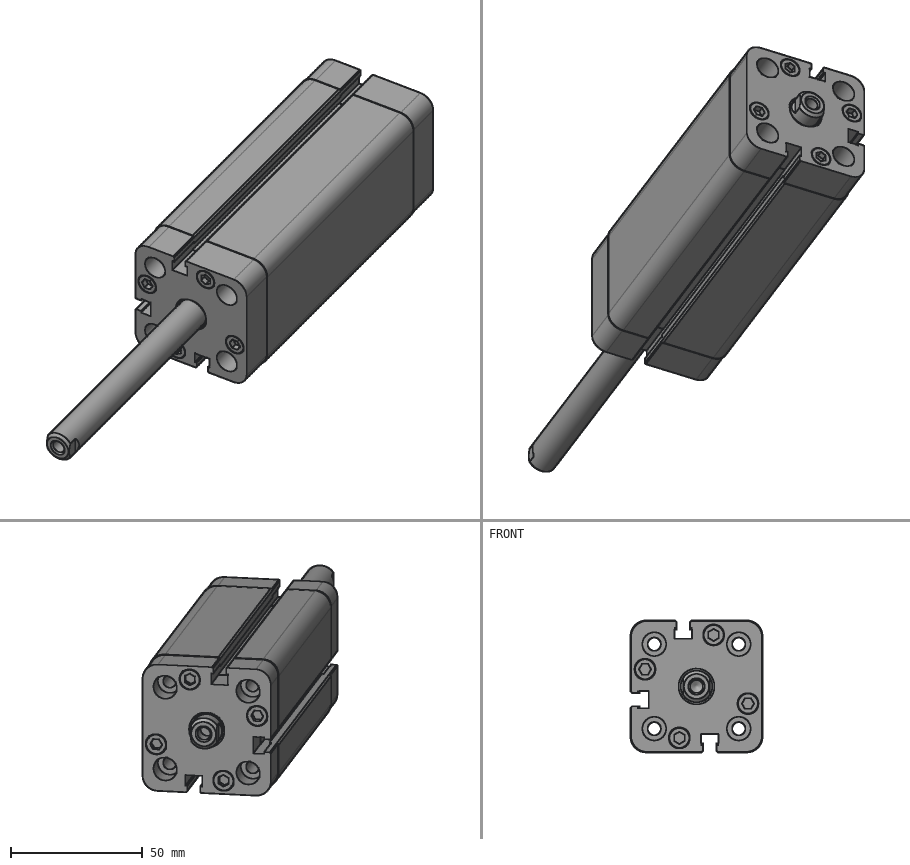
import cadquery as cq
import math


barrel_width = 50.1
cap_width = 49.5
corner_tangent = 18.9
cap_length = 14.5
barrel_length = 105.5
body_length = barrel_length + 2 * cap_length

slot_offset = 5.0
slot_mouth_width = 5.0
slot_inner_width = 6.5
slot_mouth_chamfer = 0.7
barrel_slot_floor = 18.15
cap_slot_floor = 18.0
barrel_lip_inside = 21.5
cap_lip_inside = 22.2
slot_turns = (0, 90, 180)

mount_spacing = 32.0
mount_hole_diameter = 4.92
mount_bore_diameter = 9.0
mount_bore_depth = 9.0

screw_offset = 6.5
screw_distance = 19.5
screw_recess_diameter = 8.0
screw_head_diameter = 7.5
screw_recess_depth = 4.0
screw_hex_width = 4.0
screw_hex_depth = 2.5
screw_turns = (0, 90, 180, 270)

rod_bore_diameter = 13.6
rod_bore_depth = 1.0

rod_diameter = 12.0
front_rod_length = 96.0
rear_rod_length = 6.0
rod_tip_diameter = 9.5
rod_chamfer_angle = 40.0
wrench_flat_width = 10.0
wrench_flat_length = 4.7
rod_hole_diameter = 4.92
rod_hole_mouth_diameter = 6.25
rod_hole_depth = 12.0
drill_point_angle = 118.0


def end_face(y):
    """Plane across the axis at the given Y; local x is +X, local y is -Z, extrusion goes to +Y."""
    return cq.Workplane(cq.Plane((0, y, 0), (1, 0, 0), (0, 1, 0)))


def turn(shape, angle):
    """Turn a shape around the axis, counterclockwise when looking toward +Y."""
    return shape.rotate((0, 0, 0), (0, -1, 0), angle)


def rounded_bar(width, start_y, length):
    corner_radius = width / 2 - corner_tangent
    return end_face(start_y).rect(width, width).extrude(length).edges("|Y").fillet(corner_radius)


def slot_cutter(start_y, length, floor, lip_inside):
    """Slot of the top side, with a chamfered mouth that flares at the barrel surface."""
    half_inner = slot_inner_width / 2
    half_mouth = slot_mouth_width / 2
    half_flare = half_mouth + slot_mouth_chamfer
    surface = barrel_width / 2
    right_side = [
        (half_inner, floor),
        (half_inner, lip_inside),
        (half_mouth, lip_inside),
        (half_mouth, surface - slot_mouth_chamfer),
        (half_flare, surface),
    ]
    left_side = [(-x, z) for x, z in reversed(right_side)]
    outline = [(x - slot_offset, -z) for x, z in right_side + left_side]
    return end_face(start_y).polyline(outline).close().extrude(length)


def screw_cutter():
    """Gap around one screw head at the front face, and its socket with two corners along Z."""
    center = (screw_offset, -screw_distance)
    hex_corner_diameter = 2 * screw_hex_width / math.sqrt(3)
    gap = (
        end_face(0)
        .center(*center)
        .circle(screw_recess_diameter / 2)
        .circle(screw_head_diameter / 2)
        .extrude(screw_recess_depth)
    )
    socket = (
        end_face(0)
        .center(*center)
        .transformed(rotate=(0, 0, 90))
        .polygon(6, hex_corner_diameter)
        .extrude(screw_hex_depth)
    )
    return gap.union(socket)


def mount_holes(diameter, depth):
    """Cylinders at the four corners, reaching from the front face to the given depth."""
    corners = end_face(0).rect(mount_spacing, mount_spacing, forConstruction=True).vertices()
    return corners.circle(diameter / 2).extrude(depth)


def cap_face_cutter():
    """Everything sunk into the outer face of the front cap."""
    cutter = mount_holes(mount_bore_diameter, mount_bore_depth)
    cutter = cutter.union(end_face(0).circle(rod_bore_diameter / 2).extrude(rod_bore_depth))
    for angle in screw_turns:
        cutter = cutter.union(turn(screw_cutter(), angle))
    return cutter


def make_body():
    body = rounded_bar(cap_width, 0, body_length)
    body = body.union(rounded_bar(barrel_width, cap_length, barrel_length))
    barrel_slot = slot_cutter(cap_length, barrel_length, barrel_slot_floor, barrel_lip_inside)
    front_cap_slot = slot_cutter(0, cap_length, cap_slot_floor, cap_lip_inside)
    rear_cap_slot = front_cap_slot.translate((0, cap_length + barrel_length, 0))
    for angle in slot_turns:
        for slot in (front_cap_slot, barrel_slot, rear_cap_slot):
            body = body.cut(turn(slot, angle))
    front_cutter = cap_face_cutter()
    rear_cutter = front_cutter.mirror("XZ").translate((0, body_length, 0))
    body = body.cut(mount_holes(mount_hole_diameter, body_length))
    return body.cut(front_cutter).cut(rear_cutter)


def rod_end_cutter():
    """Threaded-hole bore and two wrench flats for a rod end at Y = 0 whose rod runs to +Y."""
    hole_radius = rod_hole_diameter / 2
    mouth_radius = rod_hole_mouth_diameter / 2
    point_depth = hole_radius / math.tan(math.radians(drill_point_angle / 2))
    hole_profile = [
        (0, 0),
        (mouth_radius, 0),
        (hole_radius, mouth_radius - hole_radius),
        (hole_radius, rod_hole_depth),
        (0, rod_hole_depth + point_depth),
    ]
    cutter = cq.Workplane("XY").polyline(hole_profile).close().revolve(360, (0, 0, 0), (0, 1, 0))
    flat_x = wrench_flat_width / 2
    surface_x = rod_diameter / 2
    run_out = surface_x - flat_x
    for side in (-1, 1):
        flat_profile = [
            (side * flat_x, 0),
            (side * flat_x, wrench_flat_length),
            (side * surface_x, wrench_flat_length + run_out),
            (side * surface_x, 0),
        ]
        flat = cq.Workplane("XY").polyline(flat_profile).close().extrude(rod_diameter / 2, both=True)
        cutter = cutter.union(flat)
    return cutter


def make_rod():
    rod_length = front_rod_length + body_length + rear_rod_length
    chamfer_width = (rod_diameter - rod_tip_diameter) / 2
    chamfer_length = chamfer_width * math.tan(math.radians(rod_chamfer_angle))
    profile = [
        (0, 0),
        (rod_tip_diameter / 2, 0),
        (rod_diameter / 2, chamfer_length),
        (rod_diameter / 2, rod_length - chamfer_length),
        (rod_tip_diameter / 2, rod_length),
        (0, rod_length),
    ]
    rod = cq.Workplane("XY").polyline(profile).close().revolve(360, (0, 0, 0), (0, 1, 0))
    front_cutter = rod_end_cutter()
    rear_cutter = front_cutter.mirror("XZ").translate((0, rod_length, 0))
    return rod.cut(front_cutter).cut(rear_cutter).translate((0, -front_rod_length, 0))


result = make_body().union(make_rod())